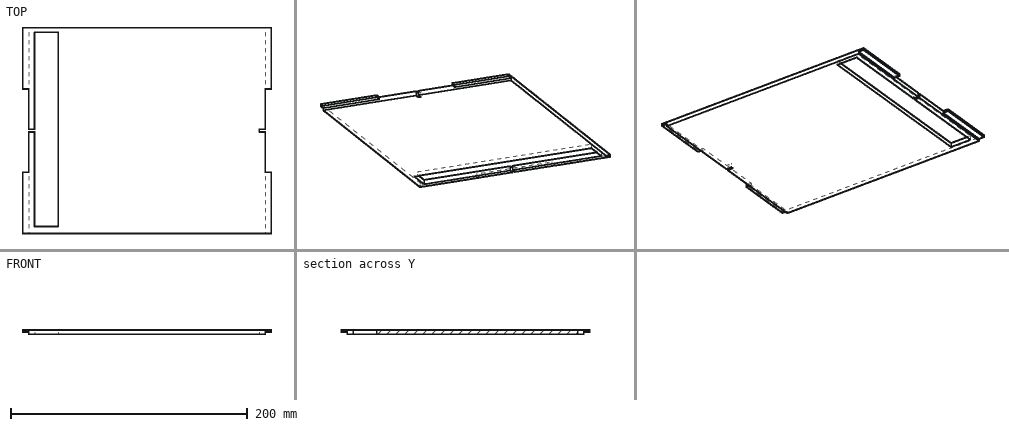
import cadquery as cq

LENGTH = 210.0
WIDTH = 174.0
THICKNESS = 4.0

LIP_LENGTH = 5.0
LIP_THICKNESS = THICKNESS / 2

LIP_GAP_WIDTH = 70.0

SLIT_WIDTH = 2.0
SLIT_DEPTH = 5.0

WINDOW_LENGTH = 20.0
WINDOW_MARGIN_MINUS_Y = 6.0
WINDOW_MARGIN_PLUS_Y = 4.0

BODY_LENGTH = LENGTH - 2 * LIP_LENGTH
WINDOW_WIDTH = WIDTH - WINDOW_MARGIN_MINUS_Y - WINDOW_MARGIN_PLUS_Y
WINDOW_CENTER_Y = (WINDOW_MARGIN_MINUS_Y - WINDOW_MARGIN_PLUS_Y) / 2
WINDOW_CENTER_X = -BODY_LENGTH / 2 + SLIT_DEPTH + WINDOW_LENGTH / 2


def centered_block(length, width, height, center_x=0.0, bottom_z=0.0):
    """Block centred on Y = 0 and on center_x, standing on bottom_z."""
    block = cq.Workplane("XY").box(length, width, height, centered=(True, True, False))
    return block.translate((center_x, 0, bottom_z))


def make_stepped_plate():
    """Thick body with a thinner, longer upper layer that forms the end lips."""
    body = centered_block(BODY_LENGTH, WIDTH, THICKNESS)
    upper_layer = centered_block(LENGTH, WIDTH, LIP_THICKNESS, bottom_z=THICKNESS - LIP_THICKNESS)
    return body.union(upper_layer)


def cut_end(plate, side):
    """Cut the lip gap and the slit at the X end given by side (-1 or +1)."""
    gap_center_x = side * (BODY_LENGTH + LIP_LENGTH) / 2
    slit_center_x = side * (BODY_LENGTH - SLIT_DEPTH) / 2
    lip_gap = centered_block(LIP_LENGTH, LIP_GAP_WIDTH, THICKNESS, gap_center_x)
    slit = centered_block(SLIT_DEPTH, SLIT_WIDTH, THICKNESS, slit_center_x)
    return plate.cut(lip_gap).cut(slit)


def cut_window(plate):
    """Cut the rectangular through window, which sits slightly toward +Y."""
    window = centered_block(WINDOW_LENGTH, WINDOW_WIDTH, THICKNESS, WINDOW_CENTER_X)
    return plate.cut(window.translate((0, WINDOW_CENTER_Y, 0)))


plate = make_stepped_plate()
for end_side in (-1, 1):
    plate = cut_end(plate, end_side)
result = cut_window(plate)